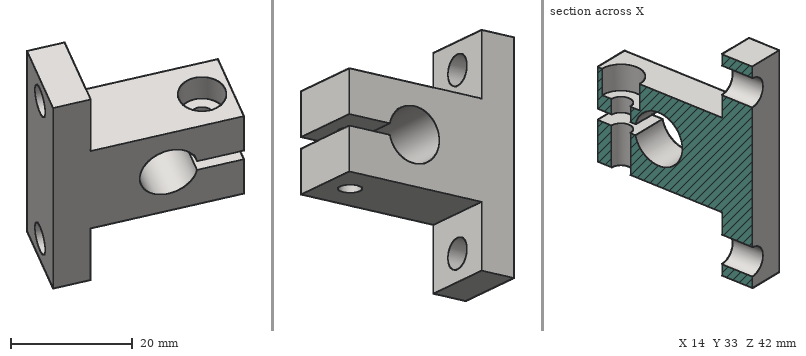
import cadquery as cq

width = 14.0
depth = 33.0
height = 42.0

plate_thickness = 6.5
block_height = 18.0
mount_hole_diameter = 5.5
mount_hole_spacing = 32.0

bore_diameter = 10.0
bore_distance = 20.0
slit_width = 2.0

screw_hole_diameter = 4.0
screw_head_diameter = 8.0
screw_head_depth = 5.0
screw_end_distance = 5.0



def centred_box(y_start, y_end, z_size):
    """Full-width box between two Y positions, centred on X and Z."""
    length = y_end - y_start
    return cq.Workplane("XY").box(width, length, z_size).translate((0, y_start + length / 2, 0))


def make_body():
    plate = centred_box(0, plate_thickness, height)
    block = centred_box(0, depth, block_height)
    return plate.union(block)


def make_mount_holes():
    return (
        cq.Workplane("XZ")
        .rarray(0.4, mount_hole_spacing, 1, 2)
        .circle(mount_hole_diameter / 2)
        .extrude(-plate_thickness)
    )


def make_shaft_clearance():
    bore = (
        cq.Workplane("YZ")
        .center(bore_distance, 0)
        .circle(bore_diameter / 2)
        .extrude(width / 2, both=True)
    )
    return bore.union(centred_box(bore_distance, depth, slit_width))


def make_screw_clearance():
    screw_y = depth - screw_end_distance
    top = block_height / 2
    shank = (
        cq.Workplane("XY")
        .center(0, screw_y)
        .circle(screw_hole_diameter / 2)
        .extrude(top, both=True)
    )
    head = (
        cq.Workplane("XY", origin=(0, screw_y, top))
        .circle(screw_head_diameter / 2)
        .extrude(-screw_head_depth)
    )
    return shank.union(head)


result = (
    make_body()
    .cut(make_mount_holes())
    .cut(make_shaft_clearance())
    .cut(make_screw_clearance())
)